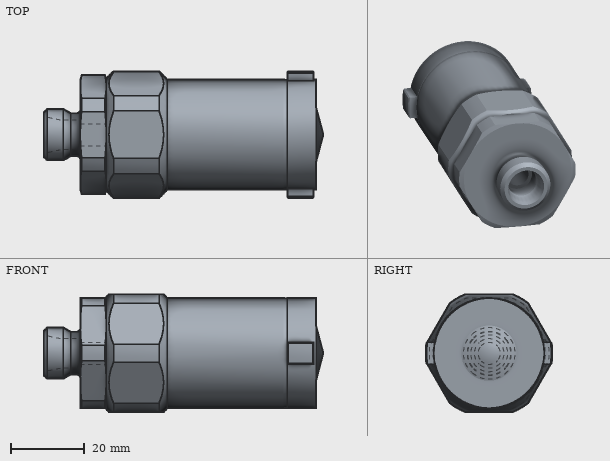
import cadquery as cq
import math


thread_radius = 7.0
thread_chamfer = 1.0
thread_end = 5.35
neck_radius = 5.85
neck_slope = math.radians(30)
neck_start = thread_end + (thread_radius - neck_radius) / math.tan(neck_slope)
nipple_length = 10.0
neck_fillet = 1.0

seat_mouth_radius = 5.0
tube_radius = 4.0
seat_angle = math.radians(12)
seat_depth = (seat_mouth_radius - tube_radius) / math.tan(seat_angle)
tube_depth = 10.0
bore_radius = 3.0

fitting_hex_flats = 30.0
fitting_hex_corner_radius = 16.25
fitting_hex_length = 7.0
fitting_hex_bevel = math.radians(15)
fitting_end = nipple_length + fitting_hex_length

body_radius = 15.0
housing_hex_flats = 32.0
housing_hex_corner_radius = 17.25
housing_hex_bevel = 2.25
housing_hex_front_bevel = 2.0
housing_hex_end = 33.6
taper_start = 65.1
housing_end = 66.2
taper_end_radius = 14.9

cap_end = 74.0
nose_radius = 7.5
nose_length = 1.99
lug_length = 7.15
lug_width = 6.0
lug_tip_radius = 17.25
lug_chamfer = 0.3


def turned(points):
    """Revolve a closed (x, radius) outline about the X axis."""
    return cq.Workplane("XY").polyline(points).close().revolve(360, (0, 0, 0), (1, 0, 0))


def hexagon(start, end, across_flats):
    """Hexagonal bar along X with flats facing +Z and -Z."""
    across_corners = across_flats / math.cos(math.pi / 6)
    return cq.Workplane("YZ", origin=(start, 0, 0)).polygon(6, across_corners).extrude(end - start)


def make_fitting():
    nipple = (
        cq.Workplane("XY")
        .moveTo(0, 0)
        .lineTo(0, thread_radius - thread_chamfer)
        .lineTo(thread_chamfer, thread_radius)
        .lineTo(thread_end, thread_radius)
        .lineTo(neck_start, neck_radius)
        .lineTo(nipple_length - neck_fillet, neck_radius)
        .radiusArc((nipple_length, neck_radius + neck_fillet), -neck_fillet)
        .lineTo(nipple_length, 0)
        .close()
        .revolve(360, (0, 0, 0), (1, 0, 0))
    )
    face_radius = fitting_hex_flats / 2
    bevel_length = (fitting_hex_corner_radius - face_radius) * math.tan(fitting_hex_bevel)
    corner_envelope = turned([
        (nipple_length, 0),
        (nipple_length, face_radius),
        (nipple_length + bevel_length, fitting_hex_corner_radius),
        (fitting_end - bevel_length, fitting_hex_corner_radius),
        (fitting_end, face_radius),
        (fitting_end, 0),
    ])
    nut = hexagon(nipple_length, fitting_end, fitting_hex_flats).intersect(corner_envelope)
    bore = turned([
        (0, 0),
        (0, seat_mouth_radius),
        (seat_depth, tube_radius),
        (tube_depth, tube_radius),
        (tube_depth, bore_radius),
        (fitting_end, bore_radius),
        (fitting_end, 0),
    ])
    return nipple.union(nut).cut(bore)


def make_housing():
    corner_envelope = turned([
        (fitting_end, 0),
        (fitting_end, housing_hex_corner_radius - housing_hex_front_bevel),
        (fitting_end + housing_hex_front_bevel, housing_hex_corner_radius),
        (housing_hex_end - housing_hex_bevel, housing_hex_corner_radius),
        (housing_hex_end, housing_hex_corner_radius - housing_hex_bevel),
        (housing_hex_end, 0),
    ])
    nut = hexagon(fitting_end, housing_hex_end, housing_hex_flats).intersect(corner_envelope)
    barrel = turned([
        (housing_hex_end, 0),
        (housing_hex_end, body_radius),
        (taper_start, body_radius),
        (housing_end, taper_end_radius),
        (housing_end, 0),
    ])
    return nut.union(barrel)


def make_lugs():
    """Bar across the cap whose rounded, chamfered ends are the two lugs."""
    disc = cq.Workplane("YZ", origin=(housing_end, 0, 0)).circle(lug_tip_radius).extrude(lug_length)
    bar = cq.Workplane("XY").box(
        lug_length, 2 * lug_tip_radius, lug_width, centered=(False, True, True)
    ).translate((housing_end, 0, 0))
    return bar.intersect(disc).faces("%CYLINDER").edges().chamfer(lug_chamfer)


def make_end_cap():
    disc = turned([
        (housing_end, 0),
        (housing_end, body_radius),
        (cap_end, body_radius),
        (cap_end, nose_radius),
        (cap_end + nose_length, 0),
    ])
    return disc.union(make_lugs())


fitting = make_fitting()
housing = make_housing()
end_cap = make_end_cap()

result = cq.Compound.makeCompound([fitting.val(), housing.val(), end_cap.val()])